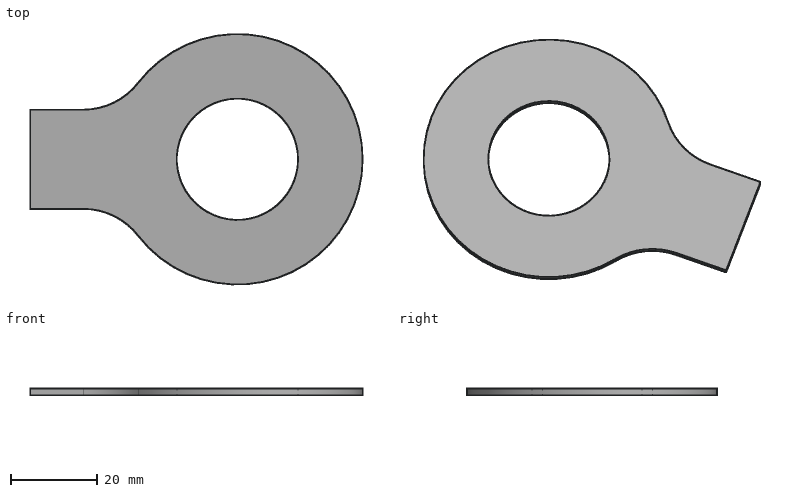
import cadquery as cq
import math

length = 76.9
thickness = 1.6
disc_diameter = 58.0
hole_diameter = 28.0
tab_width = 23.0
neck_radius = 16.0

disc_radius = disc_diameter / 2
half_tab = tab_width / 2
tab_end_x = disc_radius - length

center_distance = disc_radius + neck_radius
neck_center_y = half_tab + neck_radius
neck_center_x = -math.sqrt(center_distance**2 - neck_center_y**2)
disc_share = disc_radius / center_distance
joint_x = neck_center_x * disc_share
joint_y = neck_center_y * disc_share


def make_plate():
    """Round plate with a straight tab, joined by concave blends."""
    return (
        cq.Workplane("XY")
        .moveTo(tab_end_x, -half_tab)
        .lineTo(neck_center_x, -half_tab)
        .radiusArc((joint_x, -joint_y), neck_radius)
        .threePointArc((disc_radius, 0), (joint_x, joint_y))
        .radiusArc((neck_center_x, half_tab), neck_radius)
        .lineTo(tab_end_x, half_tab)
        .close()
        .extrude(thickness)
    )


def make_hole():
    """Cutter for the through hole at the disc centre."""
    return cq.Workplane("XY").circle(hole_diameter / 2).extrude(thickness)


result = make_plate().cut(make_hole())